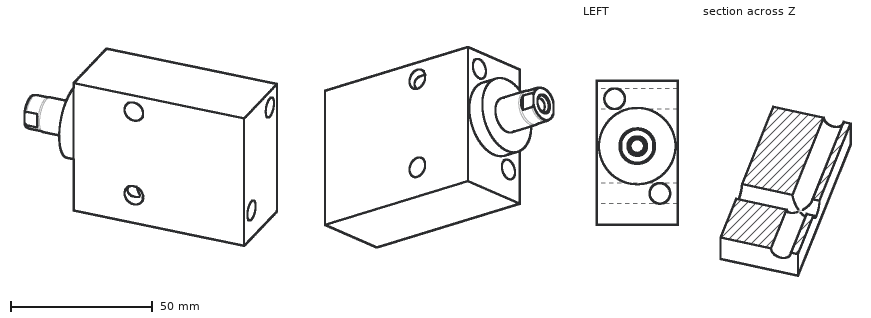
import cadquery as cq
import math

total_length = 88.7
body_length = 65.8
body_width = 28.6
body_height = 50.8
body_start = total_length - body_length

hole_diameter = 7.2
hole_spacing_z = 33.35
hole_top_margin = 6.4
cross_hole_setback = 23.2
long_hole_offset_y = 8.0
body_top = hole_spacing_z / 2 + hole_top_margin

flange_radius = 13.5
flange_thickness = 5.9
shaft_radius = 6.3
tip_radius = 6.1
tip_end_radius = 5.85
tip_bevel_length = 0.9
tip_length = 5.5
shoulder_length = 0.7

flat_distance = 11.0
flat_length = 4.8

bore_radius = 2.4
bore_cone_radius = 3.1
bore_mouth_radius = 3.5
bore_bevel_depth = 0.3
bore_cone_angle = 60.0
bore_depth = 13.3
drill_point_angle = 118.0


def make_body():
    body = cq.Workplane("XY").box(body_length, body_width, body_height, centered=(False, True, False))
    return body.translate((body_start, 0, body_top - body_height))


def make_spindle():
    flange_start = body_start - flange_thickness
    profile = [
        (0, 0),
        (0, tip_end_radius),
        (tip_bevel_length, tip_radius),
        (tip_length, tip_radius),
        (tip_length + shoulder_length, shaft_radius),
        (flange_start, shaft_radius),
        (flange_start, flange_radius),
        (body_start, flange_radius),
        (body_start, 0),
    ]
    return cq.Workplane("XY").polyline(profile).close().revolve(360, (0, 0, 0), (1, 0, 0))


def make_flat_cut(side):
    inner = flat_distance / 2
    outer = shaft_radius
    run_out = outer - inner
    profile = [
        (0, side * inner),
        (flat_length, side * inner),
        (flat_length + run_out, side * outer),
        (0, side * outer),
    ]
    return cq.Workplane("XY").polyline(profile).close().extrude(shaft_radius, both=True)


def make_bore():
    cone_length = (bore_cone_radius - bore_radius) / math.tan(math.radians(bore_cone_angle / 2))
    point_length = bore_radius / math.tan(math.radians(drill_point_angle / 2))
    profile = [
        (0, 0),
        (0, bore_mouth_radius),
        (bore_bevel_depth, bore_cone_radius),
        (bore_bevel_depth + cone_length, bore_radius),
        (bore_depth, bore_radius),
        (bore_depth + point_length, 0),
    ]
    return cq.Workplane("XY").polyline(profile).close().revolve(360, (0, 0, 0), (1, 0, 0))


def make_cross_hole(z):
    """Hole through the width of the block, along Y."""
    center = cq.Vector(body_start + cross_hole_setback, -body_width / 2, z)
    return cq.Solid.makeCylinder(hole_diameter / 2, body_width, center, cq.Vector(0, 1, 0))


def make_long_hole(y, z):
    """Hole through the length of the block, along X."""
    center = cq.Vector(body_start, y, z)
    return cq.Solid.makeCylinder(hole_diameter / 2, body_length, center, cq.Vector(1, 0, 0))


result = make_body().union(make_spindle()).cut(make_bore())
for side in (1, -1):
    hole_z = side * hole_spacing_z / 2
    result = result.cut(make_flat_cut(side))
    result = result.cut(make_cross_hole(hole_z))
    result = result.cut(make_long_hole(side * long_hole_offset_y, hole_z))